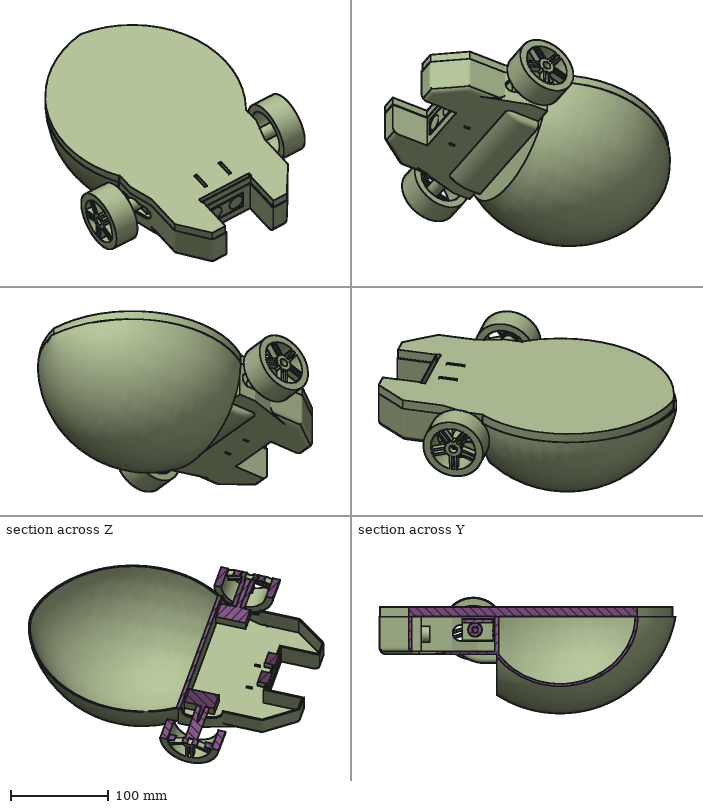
import cadquery as cq
import math

lid_height = 10.0
wall = 2.0
floor = 3.0

bowl_radius = 99.5
bowl_widest_x = 118.8
bowl_tail_x = 184.0

waist_half_width = 79.2
waist_end_x = 203.5
flank_half_width = 71.3
flank_start_x = 230.0
flank_end_x = 271.5
tine_tip_half_width = 46.5
hull_end_x = 304.5
tub_depth = 38.7
tub_bottom_fillet = 7.3
tub_corner_fillet = 5.0
notch_half_width = 29.2
notch_x = 263.5

belly_depth = 47.8
belly_half_width = 61.0
belly_flat_end_x = 196.5
belly_sweep_radius = 36.5
belly_fillet = 4.5

lid_nose_x = 3.0
lid_half_width = 100.2
lid_waist_x = 184.5
lid_end_x = 304.0
lid_notch_half_width = 30.0
lid_window_half_width = 31.5
lid_window_start_x = 258.5
lid_window_end_x = 262.8

slot_y = 15.2
lid_slot_x = 238.5
lid_slot_length = 19.0
lid_slot_width = 3.0
floor_slot_x = 242.0
floor_slot_length = 5.8
floor_slot_width = 1.8

opening_x = 208.3
opening_z = -16.7
opening_length = 41.5
opening_height = 16.0

drives = [(-1, 208.0, 26.5, -1.7), (1, 206.0, 21.0, -0.8)]
axle_z = -13.5
wheel_radius = 31.7
wheel_width = 26.5
rim_radius = 23.8
spoke_count = 5
spoke_width = 7.5
spoke_thickness = 7.5
spoke_slot_width = 3.0
hub_radius = 8.8
hub_tube_radius = 7.3
hub_recess_radius = 4.3
hub_recess_depth = 7.5

motor_face_y = 68.8
motor_width = 19.0
motor_height = 22.5
motor_front_x = 187.5
motor_rear_x = 219.5
shaft_radius = 2.7

sensor_y = -1.5
sensor_z = -18.3
sensor_plate_width = 43.8
sensor_plate_height = 20.0
sensor_plate_thickness = 1.0
eye_radius = 8.2
eye_spacing = 26.2
eye_length = 10.7
eye_places = [sensor_y - eye_spacing / 2, sensor_y + eye_spacing / 2]


def nose_arc(nose_x, half_width, end_x, inset=0.0):
    """Start, middle and end of the arc from the nose on the X axis, past the widest place, to end_x."""
    reach = bowl_widest_x - nose_x
    radius = (reach**2 + half_width**2) / (2 * half_width)
    centre_y = half_width - radius
    inset_radius = radius - inset
    start_x = bowl_widest_x - math.sqrt(inset_radius**2 - centre_y**2)
    end_y = centre_y + math.sqrt(inset_radius**2 - (end_x - bowl_widest_x) ** 2)
    return (start_x, 0), (bowl_widest_x, half_width - inset), (end_x, end_y)


def bowl_solid(end_x, inset=0.0):
    """Lower half of the nose arc turned about the X axis."""
    start, middle, end = nose_arc(0.0, bowl_radius, end_x, inset)
    profile = cq.Workplane("XY").moveTo(*start).threePointArc(middle, end).lineTo(end_x, 0).close()
    egg = profile.revolve(360, (0, 0, 0), (1, 0, 0))
    upper_half = cq.Workplane("XY").box(
        2 * hull_end_x, 4 * bowl_radius, 2 * bowl_radius, centered=(True, True, False)
    )
    return egg.cut(upper_half)


def mirrored(points):
    """The points in reverse order on the other side of the X axis."""
    return [(x, -y) for x, y in reversed(points)]


def rear_side(end_x):
    """Corners of the +Y side behind the waist."""
    return [
        (waist_end_x, waist_half_width),
        (flank_start_x, flank_half_width),
        (flank_end_x, flank_half_width),
        (end_x, tine_tip_half_width),
    ]


def box_between(x0, x1, half_width, z0, z1):
    """Box that is centred on the X axis along Y."""
    box = cq.Workplane("XY").box(x1 - x0, 2 * half_width, z1 - z0, centered=(False, True, False))
    return box.translate((x0, 0, z0))


def side_opening():
    """Obround bar that runs across the whole tub."""
    return (
        cq.Workplane("XZ")
        .center(opening_x, opening_z)
        .slot2D(opening_length, opening_height)
        .extrude(2 * waist_half_width, both=True)
    )


def slot_pair(x, length, width, z0, z1):
    """Two bars along X, one on each side of the middle."""
    return (
        cq.Workplane("XY", origin=(0, 0, z0))
        .pushPoints([(x, slot_y), (x, -slot_y)])
        .rect(length, width)
        .extrude(z1 - z0)
    )


def tub_outside():
    """Tub as a full block with rounded tine tips and rear underside, and the notch between the tines."""
    side = [(bowl_tail_x, waist_half_width)] + rear_side(hull_end_x)
    tub = cq.Workplane("XY").polyline(side + mirrored(side)).close().extrude(-tub_depth)
    tine_corners = cq.selectors.BoxSelector(
        (flank_end_x - wall, -waist_half_width, -tub_depth),
        (hull_end_x + wall, waist_half_width, 0),
    )
    tub = tub.edges("|Z").edges(tine_corners).fillet(tub_corner_fillet)
    flank_bottom = cq.selectors.BoxSelector(
        (flank_start_x, -waist_half_width, -tub_depth - wall),
        (hull_end_x + wall, waist_half_width, wall - tub_depth),
    )
    tub = tub.edges(flank_bottom).fillet(tub_bottom_fillet)
    return tub.cut(box_between(notch_x, hull_end_x, notch_half_width, -tub_depth, 0))


def tub_inside():
    """Hollow of the tub, one wall thickness inside its outline."""
    side = [(bowl_tail_x, waist_half_width)] + rear_side(hull_end_x)
    side += [(hull_end_x, notch_half_width), (notch_x, notch_half_width)]
    outline = cq.Workplane("XY").polyline(side + mirrored(side)).close()
    return outline.offset2D(-wall, "intersection").extrude(-(tub_depth - floor))


def belly():
    """Pad with rounded sides whose underside curves up to the tub floor behind its flat part."""
    top = -tub_depth + floor / 2
    end_angle = math.acos(1 - (belly_depth + top) / belly_sweep_radius)

    def sweep_point(angle):
        return (
            belly_flat_end_x + belly_sweep_radius * math.sin(angle),
            -belly_depth + belly_sweep_radius * (1 - math.cos(angle)),
        )

    pad = (
        cq.Workplane("XZ")
        .moveTo(bowl_tail_x, top)
        .lineTo(bowl_tail_x, -belly_depth)
        .lineTo(belly_flat_end_x, -belly_depth)
        .threePointArc(sweep_point(end_angle / 2), sweep_point(end_angle))
        .close()
        .extrude(belly_half_width, both=True)
    )
    return pad.faces("<Z").edges("|X").fillet(belly_fillet)


def place_drive(body, side, axle_x, tilt):
    """Move a body from the axle frame (origin on the motor face, -Y outward) to its side of the hull."""
    if side > 0:
        body = body.rotate((0, 0, 0), (0, 0, 1), 180)
    body = body.rotate((0, 0, 0), (1, 0, 0), tilt)
    return body.translate((axle_x, side * motor_face_y, axle_z))


def axle_cylinder(radius, start, length):
    """Cylinder on the axle, from start outward."""
    return cq.Workplane("XZ", origin=(0, -start, 0)).circle(radius).extrude(length)


def make_hull():
    hull = bowl_solid(bowl_tail_x).union(tub_outside()).union(belly())
    hull = hull.cut(bowl_solid(bowl_tail_x - wall, wall)).cut(tub_inside())
    hull = hull.cut(side_opening())
    hull = hull.cut(slot_pair(floor_slot_x, floor_slot_length, floor_slot_width, -tub_depth, 0))
    for side, axle_x, reach, tilt in drives:
        hull = hull.cut(place_drive(axle_cylinder(hub_tube_radius, 0, reach), side, axle_x, tilt))
    for y in eye_places:
        hull = hull.cut(sensor_eye(y))
    return hull


def make_lid():
    start, middle, end = nose_arc(lid_nose_x, lid_half_width, lid_waist_x)
    side = [(lid_waist_x, waist_half_width)] + rear_side(lid_end_x)
    side += [(lid_end_x, lid_notch_half_width), (notch_x, lid_notch_half_width)]
    lid = cq.Workplane("XY").moveTo(*start).threePointArc(middle, end)
    for point in side + mirrored(side):
        lid = lid.lineTo(*point)
    lid = (
        lid.lineTo(end[0], -end[1])
        .threePointArc((middle[0], -middle[1]), start)
        .close()
        .extrude(lid_height)
    )
    lid = lid.cut(box_between(lid_window_start_x, lid_window_end_x, lid_window_half_width, 0, lid_height))
    return lid.cut(slot_pair(lid_slot_x, lid_slot_length, lid_slot_width, 0, lid_height))


def make_wheel(reach):
    """Wheel in the axle frame: tyre ring, five slotted spokes and a hub tube that meets the motor."""
    outer = reach + wheel_width
    spoke_start = outer - spoke_thickness
    tyre = axle_cylinder(wheel_radius, reach, wheel_width)
    tyre = tyre.cut(axle_cylinder(rim_radius, reach, wheel_width))
    wheel = axle_cylinder(hub_radius, spoke_start, spoke_thickness)
    wheel = wheel.union(axle_cylinder(hub_tube_radius, 0, outer))
    spoke_end = (rim_radius + wheel_radius) / 2
    spoke_plane = cq.Workplane("XZ", origin=(0, -spoke_start, 0))
    spoke = spoke_plane.center(0, -spoke_end / 2).rect(spoke_width, spoke_end).extrude(spoke_thickness)
    gap_length = rim_radius - hub_radius
    gap_centre = (rim_radius + hub_radius) / 2
    gap = spoke_plane.center(0, -gap_centre).rect(spoke_slot_width, gap_length).extrude(spoke_thickness)
    angles = [i * 360 / spoke_count for i in range(spoke_count)]
    for angle in angles:
        wheel = wheel.union(spoke.rotate((0, 0, 0), (0, 1, 0), angle))
    for angle in angles:
        wheel = wheel.cut(gap.rotate((0, 0, 0), (0, 1, 0), angle))
    wheel = wheel.union(tyre)
    wheel = wheel.cut(axle_cylinder(shaft_radius, 0, outer))
    return wheel.cut(axle_cylinder(hub_recess_radius, outer - hub_recess_depth, hub_recess_depth))


def make_motor(side, axle_x, reach):
    """Gear motor in the axle frame: a block with a shaft that fills the bore of the wheel."""
    block_length = motor_rear_x - motor_front_x
    block_x = -side * ((motor_front_x + motor_rear_x) / 2 - axle_x)
    block = cq.Workplane("XY").box(block_length, motor_width, motor_height)
    block = block.translate((block_x, motor_width / 2, 0))
    return block.union(axle_cylinder(shaft_radius, 0, reach + wheel_width - hub_recess_depth))


def sensor_eye(y):
    """Round eye that reaches from the back of the sensor plate through the notch wall."""
    return cq.Workplane("YZ", origin=(notch_x, y, sensor_z)).circle(eye_radius).extrude(-eye_length)


def make_sensor():
    plate = (
        cq.Workplane("YZ", origin=(notch_x, sensor_y, sensor_z))
        .rect(sensor_plate_width, sensor_plate_height)
        .extrude(sensor_plate_thickness)
    )
    for y in eye_places:
        plate = plate.union(sensor_eye(y))
    return plate


hull = make_hull()
lid = make_lid()
sensor = make_sensor()
wheels = []
motors = []
for side, axle_x, reach, tilt in drives:
    wheels.append(place_drive(make_wheel(reach), side, axle_x, tilt).val())
    motors.append(place_drive(make_motor(side, axle_x, reach), side, axle_x, tilt).val())

result = cq.Compound.makeCompound([hull.val(), lid.val(), sensor.val(), *wheels, *motors])